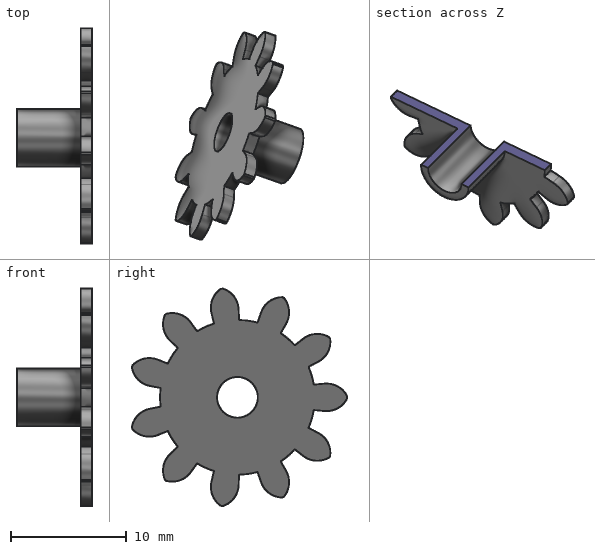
import cadquery as cq
import math

total_length = 6.5
overall_height = 18.81
disc_thickness = 1.0
hub_diameter = 5.0
bore_diameter = 3.5

tooth_count = 11
root_radius = 6.7
root_half_width = 1.11
tip_half_angle = math.radians(0.57)
addendum_radius = 1.95
widest_distance = 7.71
widest_half_width = 1.2
flank_angle = math.radians(6.3)

highest_tooth_lean = math.pi / (2 * tooth_count)
tip_radius = overall_height / 2 / math.cos(highest_tooth_lean - tip_half_angle)


def addendum_point(distance):
    """Point of the addendum arc at a given distance along the tooth centreline."""
    rise = math.sqrt(addendum_radius**2 - (distance - widest_distance)**2)
    return distance, widest_half_width - addendum_radius + rise


def mirrored(point):
    """Reflect a point across the tooth centreline."""
    return point[0], -point[1]


def make_tooth():
    """Tooth along +Y, including a stem overlapping the root disc."""
    root = (math.sqrt(root_radius**2 - root_half_width**2), root_half_width)
    stem = (hub_diameter / 2, root_half_width)
    flank_end = addendum_point(widest_distance - addendum_radius * math.sin(flank_angle))
    tip = (tip_radius * math.cos(tip_half_angle), tip_radius * math.sin(tip_half_angle))
    middle = addendum_point((flank_end[0] + tip[0]) / 2)
    return (
        cq.Workplane("YZ")
        .moveTo(*stem)
        .lineTo(*root)
        .lineTo(*flank_end)
        .threePointArc(middle, tip)
        .threePointArc((tip_radius, 0), mirrored(tip))
        .threePointArc(mirrored(middle), mirrored(flank_end))
        .lineTo(*mirrored(root))
        .lineTo(*mirrored(stem))
        .close()
        .extrude(-disc_thickness)
    )


def make_gear():
    """Root disc with the teeth evenly spaced around it."""
    gear = cq.Workplane("YZ").circle(root_radius).extrude(-disc_thickness)
    tooth = make_tooth()
    for index in range(tooth_count):
        angle = index * 360 / tooth_count
        gear = gear.union(tooth.rotate((0, 0, 0), (1, 0, 0), angle))
    return gear


hub = cq.Workplane("YZ").circle(hub_diameter / 2).extrude(-total_length)
bore = cq.Workplane("YZ").circle(bore_diameter / 2).extrude(-total_length)

result = make_gear().union(hub).cut(bore)